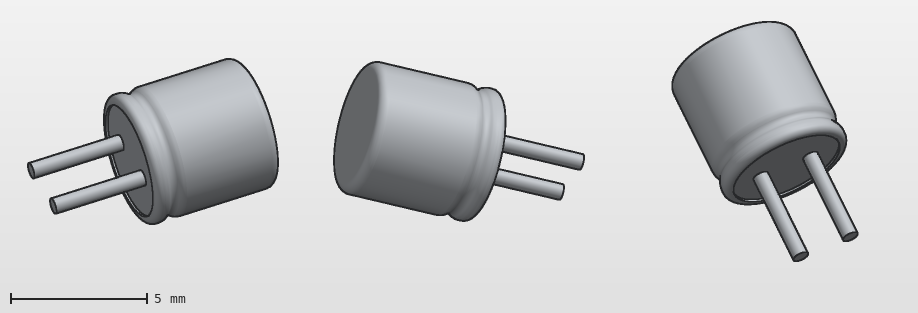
import cadquery as cq
import math

CAN_DIAMETER = 5.0
CAN_LENGTH = 5.0
CLOSED_END_FILLET = 0.34
RIM_FILLET = 0.25

GROOVE_CENTER = 0.78
GROOVE_DEPTH = 0.15
GROOVE_FLOOR_HALF_WIDTH = 0.175
GROOVE_SHOULDER_WIDTH = 0.265

SEAL_DIAMETER = 4.29
SEAL_RECESS = 0.1

LEAD_DIAMETER = 0.6
LEAD_PITCH = 2.0
LEAD_LENGTH = 3.5

CAN_RADIUS = CAN_DIAMETER / 2
GROOVE_HALF_WIDTH = GROOVE_FLOOR_HALF_WIDTH + GROOVE_SHOULDER_WIDTH

GROOVE_ARC_ANGLE = 2 * math.atan(GROOVE_DEPTH / GROOVE_HALF_WIDTH)
SHOULDER_RADIUS = GROOVE_SHOULDER_WIDTH / math.sin(GROOVE_ARC_ANGLE)
SHOULDER_DROP = SHOULDER_RADIUS * (1 - math.cos(GROOVE_ARC_ANGLE))


def shoulder_point(angle, side):
    """Point on a groove shoulder, `angle` past its outer end; side is -1 (rim) or +1."""
    radius = CAN_RADIUS - SHOULDER_RADIUS * (1 - math.cos(angle))
    offset = GROOVE_HALF_WIDTH - SHOULDER_RADIUS * math.sin(angle)
    return radius, GROOVE_CENTER + side * offset


def fillet_midpoint(center_radius, center_y, fillet, side):
    """Middle of a quarter-round corner; side is -1 for the rim, +1 for the closed end."""
    reach = fillet * math.sqrt(0.5)
    return center_radius + reach, center_y + side * reach


def make_can():
    """Can revolved about Y, with rounded ends and the rolled groove."""
    rim_inner = CAN_RADIUS - RIM_FILLET
    end_inner = CAN_RADIUS - CLOSED_END_FILLET
    end_start = CAN_LENGTH - CLOSED_END_FILLET
    half_angle = GROOVE_ARC_ANGLE / 2
    profile = (
        cq.Workplane("XY")
        .lineTo(rim_inner, 0)
        .threePointArc(
            fillet_midpoint(rim_inner, RIM_FILLET, RIM_FILLET, -1),
            (CAN_RADIUS, RIM_FILLET),
        )
        .lineTo(CAN_RADIUS, GROOVE_CENTER - GROOVE_HALF_WIDTH)
        .threePointArc(shoulder_point(half_angle, -1), shoulder_point(GROOVE_ARC_ANGLE, -1))
        .threePointArc(
            (CAN_RADIUS - GROOVE_DEPTH, GROOVE_CENTER),
            (CAN_RADIUS - SHOULDER_DROP, GROOVE_CENTER + GROOVE_FLOOR_HALF_WIDTH),
        )
        .threePointArc(
            shoulder_point(half_angle, 1),
            (CAN_RADIUS, GROOVE_CENTER + GROOVE_HALF_WIDTH),
        )
        .lineTo(CAN_RADIUS, end_start)
        .threePointArc(
            fillet_midpoint(end_inner, end_start, CLOSED_END_FILLET, 1),
            (end_inner, CAN_LENGTH),
        )
        .lineTo(0, CAN_LENGTH)
        .close()
    )
    return profile.revolve(360, (0, 0, 0), (0, 1, 0))


def make_seal_recess():
    """Shallow round pocket that sets the seal face back from the rim."""
    return cq.Workplane("XZ").circle(SEAL_DIAMETER / 2).extrude(-SEAL_RECESS)


def make_leads():
    """Two round leads standing on the recessed seal face."""
    return (
        cq.Workplane("XZ", origin=(0, SEAL_RECESS, 0))
        .pushPoints([(-LEAD_PITCH / 2, 0), (LEAD_PITCH / 2, 0)])
        .circle(LEAD_DIAMETER / 2)
        .extrude(SEAL_RECESS + LEAD_LENGTH)
    )


result = make_can().cut(make_seal_recess()).union(make_leads())